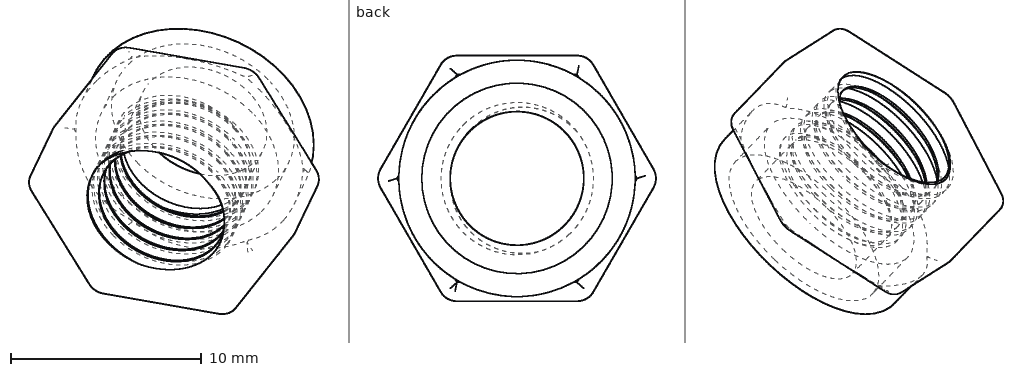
import cadquery as cq
import math

LENGTH = 8.0
ACROSS_FLATS = 12.9
CORNER_RADIUS = 0.99
EDGE_RADIUS = 0.5
COLLAR_DIAMETER = 12.4
SHOULDER_Y = 5.03
SHOULDER_ANGLE = 23.0
SHOULDER_RISE = 0.42

MINOR_DIAMETER = 7.0
MAJOR_DIAMETER = 8.0
PITCH = LENGTH / 8
CREST_WIDTH = PITCH / 8
FLANK_ANGLE = 30.0
THREAD_START_ANGLE = 199.0
GROOVE_OVERCUT = 0.06
BORE_SEAM_ANGLE = 37.0

RING_DIAMETER = 10.0
RING_START_Y = 5.0


def cylinder(diameter, start_y, end_y):
    """A cylinder on the bore axis."""
    return cq.Workplane("XZ", origin=(0, start_y, 0)).circle(diameter / 2).extrude(start_y - end_y)


def plane_facing_back(y):
    """A sketch plane at the given Y, extruding toward +Y."""
    return cq.Workplane(cq.Plane(origin=(0, y, 0), xDir=(1, 0, 0), normal=(0, 1, 0)))


def make_blank():
    """The outside of the nut: rounded hexagon, sloping shoulder and round collar."""
    across_corners = ACROSS_FLATS / math.cos(math.pi / 6)
    body = plane_facing_back(0).polygon(6, across_corners).extrude(SHOULDER_Y)
    body = body.edges("|Y").fillet(CORNER_RADIUS)
    outline = body.faces(">Y").val().outerWire()
    shoulder = (
        plane_facing_back(SHOULDER_Y)
        .add(outline)
        .toPending()
        .extrude(SHOULDER_RISE, taper=90 - SHOULDER_ANGLE)
    )
    body = body.union(shoulder)
    front_rim = body.faces("<Y").edges()
    rim_margin = 0.15
    rear_rim = body.edges(
        cq.selectors.BoxSelector(
            (-ACROSS_FLATS, SHOULDER_Y - rim_margin, -ACROSS_FLATS),
            (ACROSS_FLATS, SHOULDER_Y + rim_margin, ACROSS_FLATS),
        )
    )
    body = front_rim.add(rear_rim).fillet(EDGE_RADIUS)
    collar = cylinder(COLLAR_DIAMETER, EDGE_RADIUS, LENGTH).faces(">Y").edges().fillet(EDGE_RADIUS)
    return body.union(collar)


def make_thread_groove():
    """One helical groove that starts in front of the nut and ends behind it."""
    inner_radius = MINOR_DIAMETER / 2 - GROOVE_OVERCUT
    outer_radius = MAJOR_DIAMETER / 2
    slope = math.tan(math.radians(FLANK_ANGLE))
    half_mouth = (PITCH - CREST_WIDTH) / 2 + GROOVE_OVERCUT * slope
    half_root = half_mouth - (outer_radius - inner_radius) * slope
    turns = round(LENGTH / PITCH) + 2
    path = cq.Wire.makeHelix(PITCH, turns * PITCH, inner_radius)
    groove = (
        cq.Workplane("XZ")
        .polyline([
            (inner_radius, -half_mouth),
            (outer_radius, -half_root),
            (outer_radius, half_root),
            (inner_radius, half_mouth),
        ])
        .close()
        .sweep(path, isFrenet=True)
    )
    return (
        groove.rotate((0, 0, 0), (1, 0, 0), -90)
        .rotate((0, 0, 0), (0, 1, 0), -THREAD_START_ANGLE)
        .translate((0, -PITCH, 0))
    )


def make_nut():
    """The threaded metal nut, with a pocket behind the thread for the locking ring."""
    bore = cylinder(MINOR_DIAMETER, 0, LENGTH).rotate((0, 0, 0), (0, 1, 0), BORE_SEAM_ANGLE)
    pocket = cylinder(RING_DIAMETER, RING_START_Y, LENGTH)
    return make_blank().cut(bore).cut(make_thread_groove()).cut(pocket)


def make_locking_ring():
    """The plain ring that fills the pocket, bored to the thread's minor diameter."""
    ring = cylinder(RING_DIAMETER, RING_START_Y, LENGTH)
    return ring.cut(cylinder(MINOR_DIAMETER, RING_START_Y, LENGTH))


nut = make_nut()
locking_ring = make_locking_ring()

result = cq.Compound.makeCompound([nut.val(), locking_ring.val()])